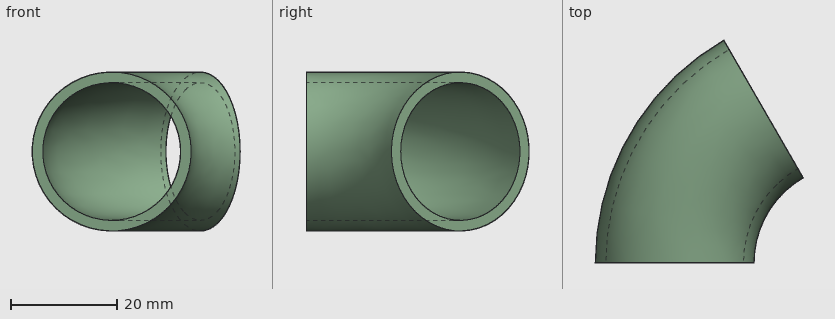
import cadquery as cq
import math

bend_angle = 60.0
overall_length = 42.0
outer_diameter = 30.0
wall = 2.0

outer_radius = outer_diameter / 2
inner_radius = outer_radius - wall
outer_bend_radius = overall_length / math.sin(math.radians(bend_angle))
bend_radius = outer_bend_radius - outer_radius

result = (
    cq.Workplane("XZ")
    .circle(outer_radius)
    .circle(inner_radius)
    .revolve(bend_angle, (bend_radius, 0), (bend_radius, -1))
)